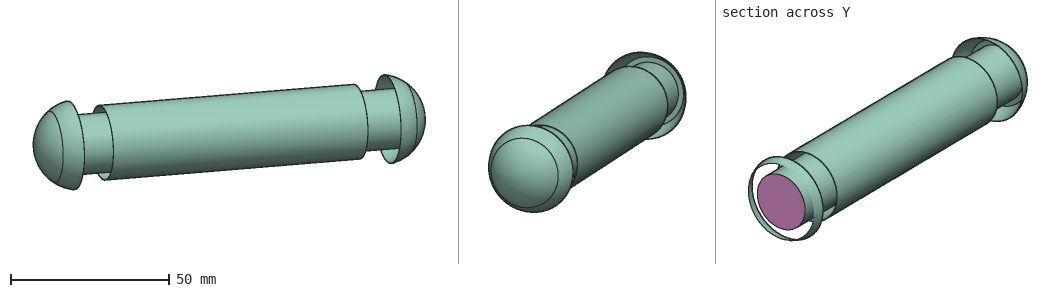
import cadquery as cq
import math

LENGTH = 128.5
PIN_DIAMETER = 19.0
HEAD_DIAMETER = 28.1
HEAD_HEIGHT = 11.8
CAP_HEIGHT = 5.7
RIM_BAND = 0.4
SKIRT_WALL = 0.1
SLEEVE_DIAMETER = 23.8
SLEEVE_LENGTH = 84.3
SLEEVE_WALL = 0.1

pin_radius = PIN_DIAMETER / 2
head_radius = HEAD_DIAMETER / 2
tip_y = LENGTH / 2
rim_y = tip_y - HEAD_HEIGHT
band_y = rim_y + RIM_BAND
floor_y = tip_y - CAP_HEIGHT
dome_height = HEAD_HEIGHT - RIM_BAND
dome_radius = (head_radius**2 + dome_height**2) / (2 * dome_height)
dome_center_y = tip_y - dome_radius


def dome_point(y, wall=0.0):
    """Profile point at height y on the dome sphere, moved inward by the wall."""
    return (math.sqrt((dome_radius - wall) ** 2 - (y - dome_center_y) ** 2), y)


def make_pin():
    """Shank with a hollow-skirted dome head at each end, turned about Y."""
    skirt_mid_y = (band_y + floor_y) / 2
    cap_mid_y = (floor_y + tip_y) / 2
    half = (
        cq.Workplane("XY")
        .lineTo(pin_radius, 0)
        .lineTo(pin_radius, floor_y)
        .lineTo(*dome_point(floor_y, SKIRT_WALL))
        .threePointArc(dome_point(skirt_mid_y, SKIRT_WALL), dome_point(band_y, SKIRT_WALL))
        .lineTo(head_radius - SKIRT_WALL, rim_y)
        .lineTo(head_radius, rim_y)
        .lineTo(head_radius, band_y)
        .threePointArc(dome_point(skirt_mid_y), dome_point(floor_y))
        .threePointArc(dome_point(cap_mid_y), (0, tip_y))
        .close()
        .revolve(360, (0, 0, 0), (0, 1, 0))
    )
    return half.union(half.mirror("XZ")).clean()


def make_sleeve():
    """Thin tube that surrounds the shank with clearance."""
    outer_radius = SLEEVE_DIAMETER / 2
    return (
        cq.Workplane("XZ", origin=(0, SLEEVE_LENGTH / 2, 0))
        .circle(outer_radius)
        .circle(outer_radius - SLEEVE_WALL)
        .extrude(SLEEVE_LENGTH)
    )


pin = make_pin()
sleeve = make_sleeve()
result = cq.Compound.makeCompound([pin.solids().val(), sleeve.val()])